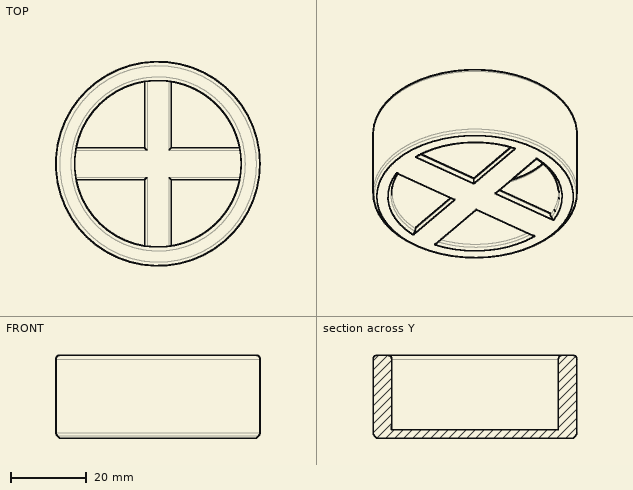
import cadquery as cq
import math

outer_radius = 27.0
bore_radius = 44.0 / 2
height = 22.0
rim_radius = 1.0
foot_chamfer = 1.0
foot_blend_radius = 1.0

spoke_thickness = 2.25
spoke_width_along_x = 8.5
spoke_width_along_y = 7.1
spoke_edge_radius = 0.7


def make_ring():
    """Tube with rounded upper edges and blended chamfers on the lower edges."""
    half_turn = math.radians(45) / 2
    blend_top = foot_chamfer + foot_blend_radius * math.tan(half_turn)
    blend_mid_up = blend_top - foot_blend_radius * math.sin(half_turn)
    blend_mid_in = foot_blend_radius * (1 - math.cos(half_turn))
    blend_end_up = blend_top - foot_blend_radius * math.sin(2 * half_turn)
    blend_end_in = foot_blend_radius * (1 - math.cos(2 * half_turn))
    rim_mid = rim_radius * (1 - math.cos(math.radians(45)))

    profile = (
        cq.Workplane("XZ")
        .moveTo(bore_radius + foot_chamfer, 0)
        .lineTo(outer_radius - foot_chamfer, 0)
        .lineTo(outer_radius - blend_end_in, blend_end_up)
        .threePointArc((outer_radius - blend_mid_in, blend_mid_up), (outer_radius, blend_top))
        .lineTo(outer_radius, height - rim_radius)
        .threePointArc((outer_radius - rim_mid, height - rim_mid), (outer_radius - rim_radius, height))
        .lineTo(bore_radius + rim_radius, height)
        .threePointArc((bore_radius + rim_mid, height - rim_mid), (bore_radius, height - rim_radius))
        .lineTo(bore_radius, blend_top)
        .threePointArc((bore_radius + blend_mid_in, blend_mid_up), (bore_radius + blend_end_in, blend_end_up))
        .close()
    )
    return profile.revolve(360, (0, 0, 0), (0, 1, 0))


def make_spoke(length_x, length_y):
    """Plain bar centred on the axis and standing on the base plane."""
    return cq.Workplane("XY").box(length_x, length_y, spoke_thickness, centered=(True, True, False))


def make_cross():
    """Two crossing spokes with rounded upper edges, ending inside the ring wall."""
    end_radius = (bore_radius + outer_radius) / 2
    spoke_length = 2 * outer_radius
    cross = make_spoke(spoke_length, spoke_width_along_x)
    cross = cross.union(make_spoke(spoke_width_along_y, spoke_length))
    cross = cross.faces(">Z").edges().fillet(spoke_edge_radius)
    return cross.intersect(cq.Workplane("XY").circle(end_radius).extrude(spoke_thickness))


result = make_ring().union(make_cross())